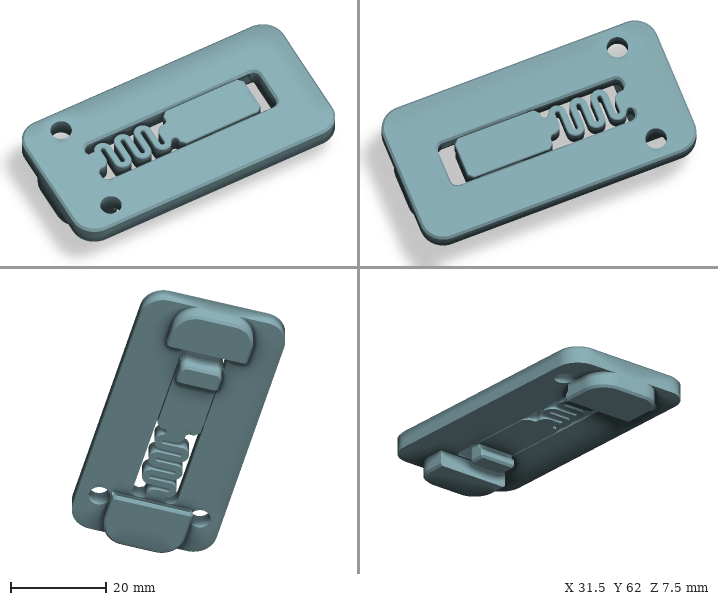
import cadquery as cq
import math

plate_width = 31.5
plate_length = 62.0
total_height = 7.5
plate_thickness = 4.0
corner_radius = 5.0
edge_chamfer = 0.5
hole_diameter = 4.5
hole_spacing = 22.0
hole_y = -22.15

foot_height = total_height - plate_thickness
foot_width = 17.5
rear_foot_length = 9.05
front_foot_length = 11.85
front_foot_undercut = 1.2
front_foot_wall_height = 1.5
latch_width = 9.0
latch_nose_y = 12.95
latch_undercut = 1.35
latch_wall_height = 0.75
latch_corner_radius = 1.5

slot_x = -0.25
slot_width = 10.0
slot_top = 21.5
slot_radius = 1.5
pad_width = 9.4
pad_top = 17.75
pad_corner = 1.05
tongue_chamfer = 0.2

guide_depth = 1.0
rib_bottom = 5.7
rib_top = 15.25
rib_margin = 0.25
guide_half_height = plate_thickness / 2 - edge_chamfer
guide_travel = slot_top - slot_radius - rib_top

gap_width = 0.9
gap_count = 6
first_gap_y = -4.9
last_gap_y = -16.8
turn_x = 2.1
spring_end_offset = 3.35
end_fillet = 0.8
gap_pitch = (first_gap_y - last_gap_y) / (gap_count - 1)
gap_ys = [first_gap_y - i * gap_pitch for i in range(gap_count)]
inner_radius = gap_width / 2
outer_radius = gap_pitch - inner_radius
spring_middle_y = (first_gap_y + last_gap_y) / 2
pad_bottom = first_gap_y + spring_end_offset
slot_bottom = last_gap_y - spring_end_offset
root_depth = 2 * edge_chamfer


def box(x_size, y_low, y_high, height):
    """Block centred on X, standing on z = 0 between two Y positions."""
    return (
        cq.Workplane("XY")
        .center(0, (y_low + y_high) / 2)
        .rect(x_size, y_high - y_low)
        .extrude(height)
    )


def prism_along_x(points, width):
    """Solid with a YZ outline, centred on X."""
    return cq.Workplane("YZ").polyline(points).close().extrude(width / 2, both=True)


def make_plate():
    plate = box(plate_width, -plate_length / 2, plate_length / 2, plate_thickness)
    plate = plate.edges("|Z").fillet(corner_radius)
    plate = plate.faces(">Z").edges().chamfer(edge_chamfer)
    holes = (
        cq.Workplane("XY")
        .pushPoints([(-hole_spacing / 2, hole_y), (hole_spacing / 2, hole_y)])
        .circle(hole_diameter / 2)
        .extrude(plate_thickness)
    )
    return plate.cut(holes)


def make_slot_cutter():
    """Slot void with a 45 degree flare at the top and a guide groove in each side wall."""
    slot = box(slot_width, slot_bottom, slot_top, plate_thickness - edge_chamfer)
    slot = slot.edges("|Z").fillet(slot_radius)
    rim = slot.faces(">Z").wires().toPending().workplane()
    slot = rim.extrude(edge_chamfer, taper=-45)
    groove = make_guide(
        slot_width, guide_half_height, rib_bottom - guide_travel, rib_top + guide_travel
    )
    return slot.union(groove)


def make_guide(inner_width, base_half_height, y_low, y_high):
    """Bar with a trapezoidal bulge at mid thickness on both sides, sloped at 45 degrees."""
    middle = plate_thickness / 2
    root_x = inner_width / 2
    tip_x = root_x + guide_depth
    tip_half_height = base_half_height - guide_depth
    points = [
        (-root_x, middle - base_half_height),
        (root_x, middle - base_half_height),
        (tip_x, middle - tip_half_height),
        (tip_x, middle + tip_half_height),
        (root_x, middle + base_half_height),
        (-root_x, middle + base_half_height),
        (-tip_x, middle + tip_half_height),
        (-tip_x, middle - tip_half_height),
    ]
    bar = cq.Workplane("XZ").polyline(points).close().extrude(y_low - y_high)
    return bar.translate((0, y_low, 0))


def end_fillet_points(turn_center, line_y, side):
    """Fillet between a turn's outer circle and a straight line at line_y.

    Returns its touching point on the circle, its middle and its touching point on the line.
    """
    toward_turn = math.copysign(1, turn_center[1] - line_y)
    fillet_y = line_y + toward_turn * end_fillet
    rise = fillet_y - turn_center[1]
    reach = outer_radius + end_fillet
    fillet_x = turn_center[0] + side * math.sqrt(reach**2 - rise**2)
    on_circle = (
        turn_center[0] + (fillet_x - turn_center[0]) * outer_radius / reach,
        turn_center[1] + rise * outer_radius / reach,
    )
    on_line = (fillet_x, line_y)
    bisector_x = (on_circle[0] + on_line[0]) / 2 - fillet_x
    bisector_y = (on_circle[1] + on_line[1]) / 2 - fillet_y
    stretch = end_fillet / math.hypot(bisector_x, bisector_y)
    middle = (fillet_x + bisector_x * stretch, fillet_y + bisector_y * stretch)
    return on_circle, middle, on_line


def arc_middle(center, start, end):
    """Middle of the outer turn arc between two points less than half a turn apart."""
    dx = (start[0] + end[0]) / 2 - center[0]
    dy = (start[1] + end[1]) / 2 - center[1]
    stretch = outer_radius / math.hypot(dx, dy)
    return (center[0] + dx * stretch, center[1] + dy * stretch)


def spring_left_side():
    """Left edge of the spring from pad to root: a list of (arc middle or None, end point)."""
    neck_center = (0, first_gap_y + inner_radius + outer_radius)
    neck_low = (0, first_gap_y + inner_radius)
    neck_touch, neck_fillet, pad_touch = end_fillet_points(neck_center, pad_bottom, -1)
    path = [
        (None, pad_touch),
        (neck_fillet, neck_touch),
        (arc_middle(neck_center, neck_touch, neck_low), neck_low),
    ]
    for i in range(0, gap_count, 2):
        open_gap_y = gap_ys[i]
        next_gap_y = gap_ys[i + 1]
        path.append((None, (turn_x, open_gap_y + inner_radius)))
        path.append(((turn_x + inner_radius, open_gap_y), (turn_x, open_gap_y - inner_radius)))
        path.append((None, (-turn_x, open_gap_y - inner_radius)))
        leftmost = (-turn_x - outer_radius, next_gap_y)
        if i + 2 < gap_count:
            path.append((leftmost, (-turn_x, next_gap_y - outer_radius)))
    root_center = (-turn_x, last_gap_y)
    root_touch, root_fillet, slot_touch = end_fillet_points(root_center, slot_bottom, -1)
    path.append((leftmost, root_touch))
    path.append((root_fillet, slot_touch))
    return path


def half_turned(point):
    """The point turned by 180 degrees about the middle of the spring."""
    return (-point[0], 2 * spring_middle_y - point[1])


def make_tongue():
    """Pad, spring and root as one outline.

    The spring's right edge is its left edge turned by 180 degrees.
    """
    left_side = spring_left_side()
    right_side = [(mid and half_turned(mid), half_turned(end)) for mid, end in left_side]
    half_pad = pad_width / 2
    outline = (
        cq.Workplane("XY")
        .moveTo(half_pad - pad_corner, pad_bottom)
        .lineTo(half_pad, pad_bottom + pad_corner)
        .lineTo(half_pad, pad_top - pad_corner)
        .lineTo(half_pad - pad_corner, pad_top)
        .lineTo(-half_pad + pad_corner, pad_top)
        .lineTo(-half_pad, pad_top - pad_corner)
        .lineTo(-half_pad, pad_bottom + pad_corner)
        .lineTo(-half_pad + pad_corner, pad_bottom)
    )
    root_left = left_side[-1][1][0]
    root_right = right_side[0][1][0]
    for path in (left_side, right_side):
        for middle, end in path:
            if middle is None:
                outline = outline.lineTo(*end)
            else:
                outline = outline.threePointArc(middle, end)
        if path is left_side:
            outline = outline.lineTo(root_left, slot_bottom - root_depth)
            outline = outline.lineTo(root_right, slot_bottom - root_depth)
    tongue = outline.close().extrude(plate_thickness)
    return tongue.faces(">Z").edges().chamfer(tongue_chamfer)


def make_catch(width, nose_y, back_y, back_radius, undercut, wall_height):
    """Block under the plate with rounded back corners and an undercut nose."""
    away = math.copysign(1, nose_y - back_y)
    nose_side, back_side = (">Y", "<Y") if away > 0 else ("<Y", ">Y")
    block = box(width, min(nose_y, back_y), max(nose_y, back_y), -foot_height)
    block = block.edges("|Z").edges(back_side).fillet(back_radius)
    block = block.edges("|Z").edges(nose_side).chamfer(edge_chamfer)
    block = block.faces("<Z").edges().chamfer(edge_chamfer)
    wall_y = nose_y - away * undercut
    notch = prism_along_x(
        [(wall_y, 0), (wall_y, -wall_height), (nose_y, -wall_height - undercut), (nose_y, 0)],
        width,
    )
    return block.cut(notch)


def make_rear_foot():
    foot_end = plate_length / 2
    foot = box(foot_width, foot_end - rear_foot_length, foot_end, -foot_height)
    foot = foot.edges("|Z and >Y").fillet(corner_radius)
    outer_rim = foot.faces("<Z").edges("not <Y")
    return outer_rim.chamfer(edge_chamfer)


front_foot = make_catch(
    foot_width,
    front_foot_length - plate_length / 2,
    -plate_length / 2,
    corner_radius,
    front_foot_undercut,
    front_foot_wall_height,
)
latch = make_catch(
    latch_width, latch_nose_y, pad_top, latch_corner_radius, latch_undercut, latch_wall_height
)
ribs = make_guide(pad_width, guide_half_height - rib_margin, rib_bottom, rib_top)
slider = make_tongue().union(ribs).union(latch).translate((slot_x, 0, 0))
plate = make_plate().cut(make_slot_cutter().translate((slot_x, 0, 0)))
result = plate.union(front_foot).union(make_rear_foot()).union(slider)